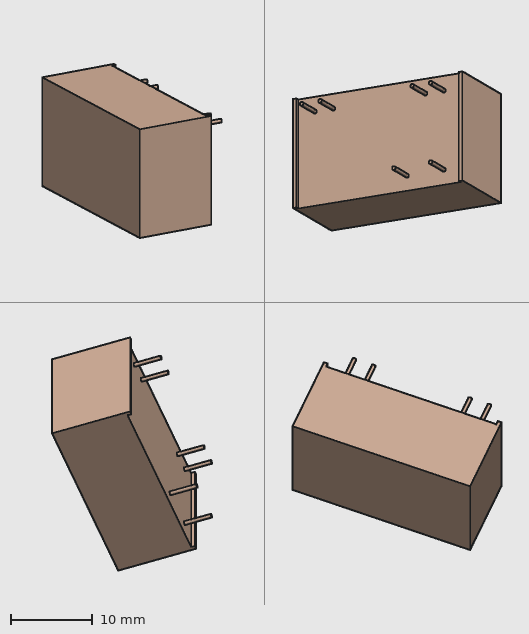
import cadquery as cq

case_length = 23.4
case_height = 14.0
case_depth = 10.15
rail_size = 0.5
base_y = case_depth - rail_size

pin_diameter = 0.5
pin_tip_y = 13.15
column_span = 17.78
column_count = 8
column_pitch = column_span / (column_count - 1)
row_spacing = 10.15
upper_row_columns = (1, 2, 7, 8)
lower_row_columns = (1, 3)


def make_case():
    """Solid block with a shallow recess between full-height end rails."""
    block = cq.Workplane("XY").box(case_length, case_depth, case_height, centered=(True, False, True))
    recess = (
        cq.Workplane("XY")
        .box(case_length - 2 * rail_size, rail_size, case_height, centered=(True, False, True))
        .translate((0, base_y, 0))
    )
    return block.cut(recess)


def make_pin(column, z):
    """Round pin standing on the recessed base in the given column."""
    x = (column - (column_count + 1) / 2) * column_pitch
    foot = cq.Vector(x, base_y, z)
    return cq.Solid.makeCylinder(pin_diameter / 2, pin_tip_y - base_y, foot, cq.Vector(0, 1, 0))


result = make_case()
for pin_column in upper_row_columns:
    result = result.union(make_pin(pin_column, row_spacing / 2))
for pin_column in lower_row_columns:
    result = result.union(make_pin(pin_column, -row_spacing / 2))